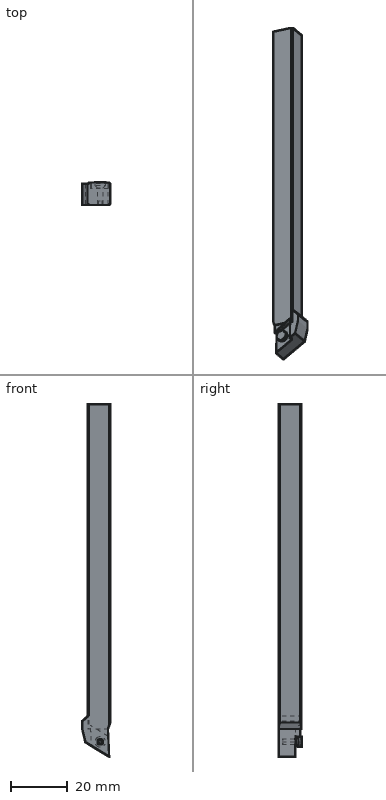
import cadquery as cq
import math


total_length = 124.44
shank_size = 8.0
shank_chamfer = 0.5
shank_bottom = 9.9
half_shank = shank_size / 2

head_overhang = 2.0
crank_top = 14.4
crank_bottom = 12.6
heel_top = shank_bottom
heel_bottom_x = -4.85
tip_x = 3.6
end_slope = math.radians(31.5)
side_lean = math.radians(2.5)
relief_top = 12.2
relief_bottom = shank_bottom
head_back_y = 3.6

seat_y = 1.9
inscribed_radius = 3.175
screw_x = 0.4
screw_z = 5.3
seat_reach = 20.0

screw_top_y = 4.14
screw_head_radius = 1.85
screw_head_height = 1.2
screw_cone_height = 0.9
screw_shank_radius = 1.0
screw_socket_radius = 0.65
screw_socket_depth = 1.5

front_y = -half_shank
relief_x = tip_x - relief_bottom * math.tan(side_lean)
end_direction = (-math.cos(end_slope), math.sin(end_slope))
side_direction = (-math.sin(side_lean), math.cos(side_lean))


def extrude_along_y(points, y_start, y_end):
    """Prism of an XZ outline between two Y positions."""
    plane = cq.Workplane("XZ", origin=(0, y_start, 0))
    return plane.polyline(points).close().extrude(y_start - y_end)


def make_shank():
    length = total_length - shank_bottom
    bar = cq.Workplane("XY", origin=(0, 0, shank_bottom)).rect(shank_size, shank_size).extrude(length)
    return bar.edges("|Z").chamfer(shank_chamfer)


def make_relief_cutter():
    """Wedge that trims the shank's lower end back to the head's side face."""
    outline = [
        (half_shank, relief_top),
        (relief_x, relief_bottom),
        (half_shank, relief_bottom),
    ]
    return extrude_along_y(outline, front_y, half_shank)


def make_head():
    """Cranked plate; within the shank's length it spans only the flat between the chamfers."""
    heel_x = -half_shank - head_overhang
    heel_bottom = (tip_x - heel_bottom_x) * math.tan(end_slope)
    crank_slope = (crank_top - crank_bottom) / head_overhang
    relief_slope = (relief_top - relief_bottom) / (half_shank - relief_x)
    flat_edge = half_shank - shank_chamfer
    flat_crank_top = crank_top + crank_slope * shank_chamfer
    flat_relief_top = relief_top - relief_slope * shank_chamfer
    outline = [
        (-flat_edge, flat_crank_top),
        (heel_x, crank_bottom),
        (heel_x, heel_top),
        (heel_bottom_x, heel_bottom),
        (tip_x, 0),
        (relief_x, relief_bottom),
        (flat_edge, flat_relief_top),
        (flat_edge, flat_crank_top),
    ]
    return extrude_along_y(outline, front_y, head_back_y)


def make_seat_cutter():
    """Space for the insert, open past the head's end face and side face."""
    tip_angle = math.pi / 2 - end_slope - side_lean
    corner_distance = inscribed_radius / math.sin(tip_angle / 2)
    bisector = math.pi / 2 + side_lean + tip_angle / 2
    corner_x = screw_x + corner_distance * math.cos(bisector)
    corner_z = screw_z + corner_distance * math.sin(bisector)
    side_end = (corner_x - seat_reach * side_direction[0], corner_z - seat_reach * side_direction[1])
    top_end = (corner_x - seat_reach * end_direction[0], corner_z - seat_reach * end_direction[1])
    far_corner = (top_end[0] + side_end[0] - corner_x, top_end[1] + side_end[1] - corner_z)
    outline = [(corner_x, corner_z), side_end, far_corner, top_end]
    return extrude_along_y(outline, seat_y, half_shank)


def make_screw():
    """Countersunk screw with a key socket in its flush end, revolved about its axis along Y."""
    socket_floor_y = front_y + screw_socket_depth
    cone_top = screw_top_y - screw_head_height
    profile = [
        (0, socket_floor_y),
        (screw_socket_radius, socket_floor_y),
        (screw_socket_radius, front_y),
        (screw_shank_radius, front_y),
        (screw_shank_radius, cone_top - screw_cone_height),
        (screw_head_radius, cone_top),
        (screw_head_radius, screw_top_y),
        (0, screw_top_y),
    ]
    screw = cq.Workplane("XY").polyline(profile).close().revolve(360, (0, 0, 0), (0, 1, 0))
    return screw.translate((screw_x, 0, screw_z))


def make_screw_hole():
    plane = cq.Workplane("XZ", origin=(screw_x, front_y, screw_z))
    return plane.circle(screw_shank_radius).extrude(-shank_size)


screw = make_screw()
holder = make_shank().cut(make_relief_cutter()).union(make_head())
holder = holder.cut(make_seat_cutter()).cut(make_screw_hole())

result = cq.Compound.makeCompound([holder.val(), screw.val()])